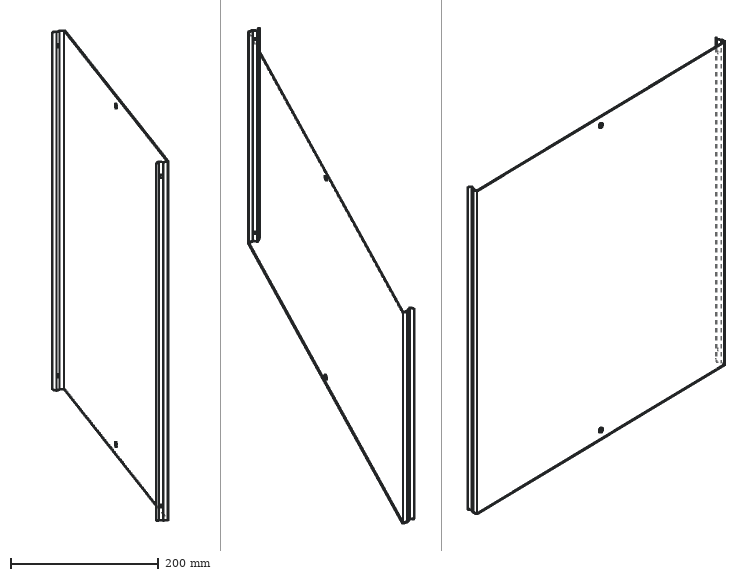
import cadquery as cq

width = 503.0
depth = 18.0
height = 525.0
sheet = 1.3

leg_end = 7.5
groove_depth = 12.5
groove_inset = 3.0
outer_bend = 2.0
lip_corner = 2.0

panel_hole_diameter = 7.0
panel_hole_edge = 14.5
flange_hole_diameter = 4.0
flange_hole_edge = 21.0

half_width = width / 2
half_height = height / 2
face_y = depth / 2
flange_hole_y = face_y - (leg_end + groove_depth) / 2
flange_reach = groove_inset + 2 * sheet


def make_panel():
    """Flat sheet between the side flanges, with its face on the +Y side."""
    panel_width = width - 2 * outer_bend
    return cq.Workplane("XY").box(panel_width, sheet, height).translate((0, face_y - sheet / 2, 0))


def make_left_flange():
    """Folded edge: rounded bend, leg, wall sloping in to a V groove, lip flaring outward."""
    outer_x = -half_width
    inner_x = outer_x + sheet
    groove_x = outer_x + groove_inset
    lip_y = face_y - depth
    bend_x = outer_x + outer_bend
    bend_y = face_y - outer_bend
    diagonal = 0.5 ** 0.5
    lip_drop = sheet * diagonal
    flange = (
        cq.Workplane("XY")
        .workplane(offset=-half_height)
        .moveTo(bend_x, face_y)
        .threePointArc((bend_x - outer_bend * diagonal, bend_y + outer_bend * diagonal), (outer_x, bend_y))
        .lineTo(outer_x, face_y - leg_end)
        .lineTo(groove_x, face_y - groove_depth)
        .lineTo(outer_x, lip_y + lip_drop)
        .lineTo(outer_x + lip_drop, lip_y)
        .lineTo(groove_x + sheet, face_y - groove_depth)
        .lineTo(inner_x, face_y - leg_end)
        .lineTo(inner_x, face_y - sheet)
        .lineTo(bend_x, face_y - sheet)
        .close()
        .extrude(height)
    )
    return cut_lip_corners(flange)


def cut_lip_corners(flange):
    """Bevel the free corners at both ends of the lip."""
    lip_y = -face_y
    for end in (-1, 1):
        corner = (
            cq.Workplane("YZ")
            .workplane(offset=-half_width)
            .moveTo(lip_y, end * half_height)
            .lineTo(lip_y + lip_corner, end * half_height)
            .lineTo(lip_y, end * (half_height - lip_corner))
            .close()
            .extrude(flange_reach)
        )
        flange = flange.cut(corner)
    return flange


def panel_holes():
    """Round holes near the middle of the top and bottom edges."""
    z = half_height - panel_hole_edge
    return (
        cq.Workplane("XZ")
        .pushPoints([(0, -z), (0, z)])
        .circle(panel_hole_diameter / 2)
        .extrude(depth, both=True)
    )


def flange_holes():
    """Round holes through the sloping wall of both flanges, near each end."""
    z = half_height - flange_hole_edge
    return (
        cq.Workplane("YZ")
        .pushPoints([(flange_hole_y, -z), (flange_hole_y, z)])
        .circle(flange_hole_diameter / 2)
        .extrude(half_width, both=True)
    )


left_flange = make_left_flange()
right_flange = left_flange.mirror("YZ")
folded_panel = make_panel().union(left_flange).union(right_flange)
result = folded_panel.cut(panel_holes()).cut(flange_holes())